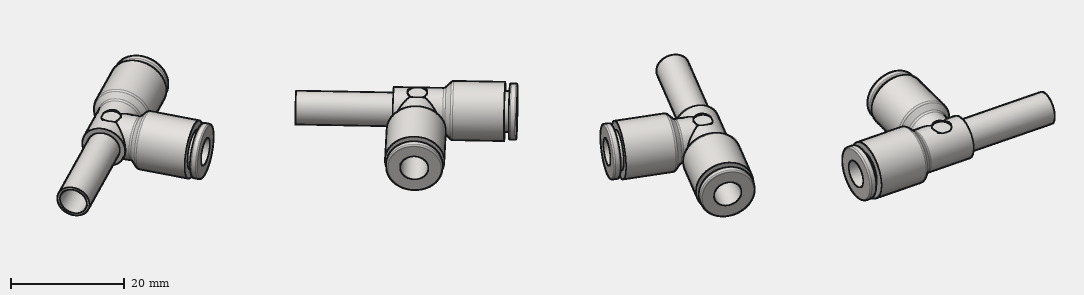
import cadquery as cq

body_diameter = 10.5
body_radius = body_diameter / 2
core_radius = 3.98
collar_radius = 5.0
neck_radius = 3.63
stem_radius = 3.0
bore_radius = 2.5

overall_width = 22.75
overall_length = 39.0

branch_end = overall_width - body_radius
run_end = 17.55
stem_end = run_end - overall_length
core_end = -4.25
shoulder_start = 4.8

collar_width = 1.33
neck_gap = 0.8
collar_round = 0.27
shoulder_height = body_radius - core_radius
shoulder_blend = 0.6

clearance = 0.4

recess_radius = 1.75
recess_floor = 3.63


def port(end):
    """Port along +Z from the origin: core, 45 degree shoulder, body, neck and release collar."""
    body_end = end - collar_width - neck_gap
    shoulder_end = shoulder_start + shoulder_height
    body = (
        cq.Workplane("XZ")
        .moveTo(0, 0)
        .lineTo(core_radius, 0)
        .lineTo(core_radius, shoulder_start)
        .lineTo(body_radius, shoulder_end)
        .lineTo(body_radius, body_end)
        .lineTo(0, body_end)
        .close()
        .revolve(360, (0, 0, 0), (0, 1, 0))
    )
    shoulder_edges = cq.selectors.BoxSelector(
        (-body_radius, -body_radius, shoulder_start - clearance),
        (body_radius, body_radius, shoulder_end + clearance),
    )
    body = body.edges(shoulder_edges).fillet(shoulder_blend)

    neck = cq.Workplane("XY").workplane(offset=body_end).circle(neck_radius).extrude(neck_gap)
    collar = (
        cq.Workplane("XY")
        .workplane(offset=end - collar_width)
        .circle(collar_radius)
        .extrude(collar_width)
        .edges()
        .fillet(collar_round)
    )
    return body.union(neck).union(collar)


def along_y(radius, start, end):
    """Cylinder on the Y axis between two Y positions."""
    return cq.Workplane("XZ", origin=(0, start, 0)).circle(radius).extrude(start - end)


run_port = port(run_end).rotate((0, 0, 0), (1, 0, 0), -90)
branch_port = port(branch_end).rotate((0, 0, 0), (0, 1, 0), 90)
core = along_y(core_radius, core_end, 0)
stem = along_y(stem_radius, stem_end, core_end)
tee = run_port.union(core).union(branch_port).union(stem)

run_bore = along_y(bore_radius, stem_end, run_end)
branch_bore = cq.Workplane("YZ").circle(bore_radius).extrude(branch_end)
recess = (
    cq.Workplane("XY")
    .workplane(offset=recess_floor)
    .circle(recess_radius)
    .extrude(core_radius - recess_floor + clearance)
)

result = tee.cut(run_bore).cut(branch_bore).cut(recess)